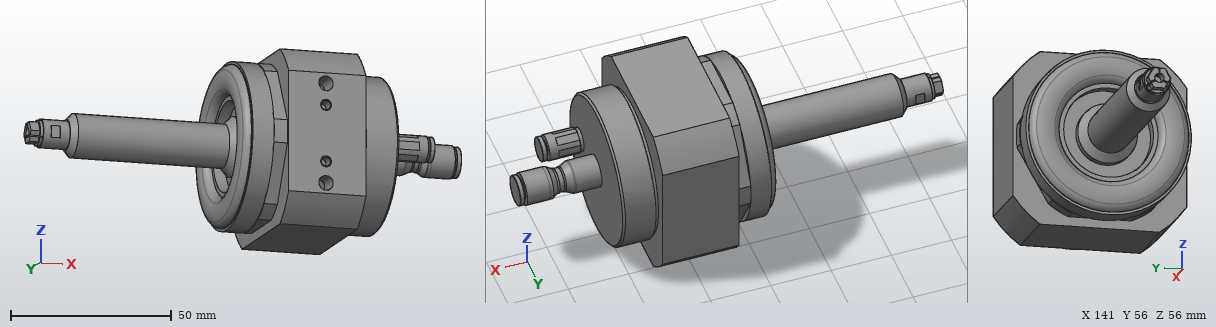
import cadquery as cq
import math


HOUSING_START = 76.7
HOUSING_END = 102.1
HOUSING_WIDTH = 56.0
HOUSING_CORNER_DIAMETER = 68.0

CORE_DIAMETER = 50.0
PORT_STATION = 89.0
LARGE_PORT_HEIGHT = 16.0
LARGE_PORT_DIAMETER = 4.7
SMALL_PORT_HEIGHT = 9.0
SMALL_PORT_DIAMETER = 3.0
SMALL_PORT_COUNTERSINK = 3.5

COLLET_FLATS = 6.3
COLLET_BORE = 3.0
COLLET_SLOT_WIDTH = 0.4
COLLET_LENGTH = 3.0
COLLET_SLOT_COUNT = 3
NECK_START = 4.0
NECK_DIAMETER = 9.0
NECK_CHAMFER = 0.4
WRENCH_START = 6.5
WRENCH_LENGTH = 3.0
WRENCH_FLATS = 8.2
SHAFT_CONE_START = 12.5
SHAFT_START = 14.5
SHAFT_DIAMETER = 14.0
SHAFT_CONE_DIAMETER = 9.9
COLLAR_CONE_START = 64.2
COLLAR_DIAMETER = 19.2

FLANGE_FRONT = 62.5
FLANGE_RIM_START = 65.5
FLANGE_END = 72.4
FLANGE_DIAMETER = 53.3
LIP_SAG = 0.5
LIP_ROUND = 3.1
LIP_OUTER_DEPTH = 2.7
LIP_OUTER_DIAMETER = 47.7
LIP_INNER_DIAMETER = 35.8
LIP_SHOULDER_DIAMETER = 51.6
RECESS_STEP = 65.6
RECESS_STEP_DIAMETER = 31.9
RECESS_DIAMETER = 28.9
RECESS_FLOOR = 69.4

NUT_FLATS = 50.0
NUT_CORNER_DIAMETER = 53.9

COVER_START = 103.2
COVER_END = 114.1
COVER_DIAMETER = 50.0
COVER_CHAMFER = 0.7
COVER_GROOVE_DIAMETER = 48.2

TOTAL_LENGTH = 141.0
LARGE_DIAMETER = 10.6
LARGE_BODY_END = 122.6
LARGE_CONE_START = 123.0
LARGE_CONE_DIAMETER = 10.5
WAIST_START = 125.4
WAIST_GROOVE_START = 126.0
WAIST_GROOVE_END = 127.5
WAIST_END = 128.2
LARGE_CONE_END = 130.0
LARGE_HEAD_START = 131.2
LARGE_HEAD_END = 138.8
LARGE_COLLAR_START = 139.5
WAIST_DIAMETER = 8.2
WAIST_GROOVE_DIAMETER = 7.8
LARGE_GROOVE_DIAMETER = 7.2
LARGE_COLLAR_DIAMETER = 9.9

RELEASE_COLLAR_CHAMFER = 0.1

SMALL_Y = -15.0
SMALL_DIAMETER = 8.5
SMALL_FLATS = 8.0
SMALL_BASE_DIAMETER = 7.8
SMALL_HEX_START = 115.2
SMALL_HEX_END = 122.6
SMALL_BODY_END = 125.5
SMALL_COLLAR_START = 126.2
SMALL_END = 127.8
SMALL_GROOVE_DIAMETER = 5.0
SMALL_COLLAR_DIAMETER = 8.0


def plane_at(x, y=0):
    """Work plane across the main axis, with local x along Y and local y along Z."""
    return cq.Workplane("YZ", origin=(x, y, 0))


def cylinder(start, end, diameter, y=0):
    return plane_at(start, y).circle(diameter / 2).extrude(end - start)


def hexagon(start, end, flats, y=0):
    """Hexagonal bar with two of its corners pointing along +Y and -Y."""
    corner_diameter = flats / math.cos(math.pi / 6)
    return plane_at(start, y).polygon(6, corner_diameter).extrude(end - start)


def turned(steps, y=0):
    """Solid of revolution along X through (station, diameter) steps."""
    points = [(x, diameter / 2) for x, diameter in steps]
    profile = [(points[0][0], 0)] + points + [(points[-1][0], 0)]
    return (
        cq.Workplane("XY")
        .polyline(profile)
        .close()
        .revolve(360, (0, 0, 0), (1, 0, 0))
        .translate((0, y, 0))
    )


def collar_steps(start, end, diameter):
    """Steps of a release collar with both edges chamfered."""
    edge_diameter = diameter - 2 * RELEASE_COLLAR_CHAMFER
    return (
        (start, edge_diameter),
        (start + RELEASE_COLLAR_CHAMFER, diameter),
        (end - RELEASE_COLLAR_CHAMFER, diameter),
        (end, edge_diameter),
    )


def side_face(z):
    """Work plane on the -Y face of the housing at the station of the ports, facing inward."""
    plane = cq.Plane(
        origin=(PORT_STATION, -HOUSING_WIDTH / 2, z), xDir=(1, 0, 0), normal=(0, 1, 0)
    )
    return cq.Workplane(plane)


def make_housing():
    length = HOUSING_END - HOUSING_START
    block = plane_at(HOUSING_START).rect(HOUSING_WIDTH, HOUSING_WIDTH).extrude(length)
    block = block.intersect(cylinder(HOUSING_START, HOUSING_END, HOUSING_CORNER_DIAMETER))
    core = cylinder(HOUSING_START, HOUSING_END, CORE_DIAMETER)
    for side in (1, -1):
        large_port = (
            side_face(side * LARGE_PORT_HEIGHT)
            .circle(LARGE_PORT_DIAMETER / 2)
            .extrude(HOUSING_WIDTH / 2)
        )
        small_port = (
            side_face(side * SMALL_PORT_HEIGHT)
            .circle(SMALL_PORT_DIAMETER / 2)
            .extrude(HOUSING_WIDTH / 2)
        )
        countersink = cq.Workplane(
            cq.Solid.makeCone(
                SMALL_PORT_COUNTERSINK / 2,
                0,
                SMALL_PORT_COUNTERSINK / 2,
                pnt=(PORT_STATION, -HOUSING_WIDTH / 2, side * SMALL_PORT_HEIGHT),
                dir=(0, 1, 0),
            )
        )
        block = block.cut(large_port.cut(core)).cut(small_port.cut(core)).cut(countersink)
    return block


def make_flange():
    lip_edge = FLANGE_FRONT + LIP_SAG
    lip_crest = (LIP_OUTER_DIAMETER + LIP_INNER_DIAMETER) / 4
    profile = (
        cq.Workplane("XY")
        .moveTo(RECESS_FLOOR, 0)
        .lineTo(RECESS_FLOOR, RECESS_DIAMETER / 2)
        .lineTo(RECESS_STEP, RECESS_DIAMETER / 2)
        .lineTo(RECESS_STEP, RECESS_STEP_DIAMETER / 2)
        .radiusArc((lip_edge, LIP_INNER_DIAMETER / 2), LIP_ROUND)
        .threePointArc((FLANGE_FRONT, lip_crest), (lip_edge, LIP_OUTER_DIAMETER / 2))
        .radiusArc((FLANGE_FRONT + LIP_OUTER_DEPTH, LIP_SHOULDER_DIAMETER / 2), LIP_ROUND)
        .lineTo(FLANGE_RIM_START, LIP_SHOULDER_DIAMETER / 2)
        .lineTo(FLANGE_RIM_START, FLANGE_DIAMETER / 2)
        .lineTo(FLANGE_END, FLANGE_DIAMETER / 2)
        .lineTo(FLANGE_END, 0)
        .close()
    )
    return profile.revolve(360, (0, 0, 0), (1, 0, 0))


def make_nut():
    nut = hexagon(FLANGE_END, HOUSING_START, NUT_FLATS)
    return nut.intersect(cylinder(FLANGE_END, HOUSING_START, NUT_CORNER_DIAMETER))


def make_spindle():
    collar_end = COLLAR_CONE_START + (COLLAR_DIAMETER - SHAFT_DIAMETER) / 2
    spindle = turned(
        (
            (COLLET_LENGTH, NECK_DIAMETER - 2 * NECK_CHAMFER),
            (NECK_START, NECK_DIAMETER - 2 * NECK_CHAMFER),
            (NECK_START, NECK_DIAMETER),
            (SHAFT_CONE_START, NECK_DIAMETER),
            (SHAFT_CONE_START, SHAFT_CONE_DIAMETER),
            (SHAFT_START, SHAFT_DIAMETER),
            (COLLAR_CONE_START, SHAFT_DIAMETER),
            (collar_end, COLLAR_DIAMETER),
            (RECESS_FLOOR, COLLAR_DIAMETER),
        )
    )
    wrench_end = WRENCH_START + WRENCH_LENGTH
    wrench_ring = cylinder(WRENCH_START, wrench_end, 2 * NECK_DIAMETER)
    wrench_core = (
        plane_at(WRENCH_START).rect(WRENCH_FLATS, 2 * NECK_DIAMETER).extrude(WRENCH_LENGTH)
    )
    spindle = spindle.cut(wrench_ring.cut(wrench_core))
    return spindle.union(hexagon(0, COLLET_LENGTH, COLLET_FLATS))


def make_collet_cut():
    """Bore of the collet and the radial slots that split it into jaws."""
    cut = cylinder(0, NECK_START, COLLET_BORE)
    for i in range(COLLET_SLOT_COUNT):
        slot = (
            plane_at(0)
            .center(0, NECK_DIAMETER / 2)
            .rect(COLLET_SLOT_WIDTH, NECK_DIAMETER)
            .extrude(NECK_START)
            .rotate((0, 0, 0), (1, 0, 0), i * 360 / COLLET_SLOT_COUNT)
        )
        cut = cut.union(slot)
    return cut


def make_cover():
    cover = cylinder(COVER_START, COVER_END, COVER_DIAMETER).faces(">X").chamfer(COVER_CHAMFER)
    return cover.union(cylinder(HOUSING_END, COVER_START, COVER_GROOVE_DIAMETER))


def make_large_fitting():
    return turned(
        (
            (COVER_END, LARGE_DIAMETER),
            (LARGE_BODY_END, LARGE_DIAMETER),
            (LARGE_CONE_START, LARGE_CONE_DIAMETER),
            (WAIST_START, WAIST_DIAMETER),
            (WAIST_GROOVE_START, WAIST_DIAMETER),
            (WAIST_GROOVE_START, WAIST_GROOVE_DIAMETER),
            (WAIST_GROOVE_END, WAIST_GROOVE_DIAMETER),
            (WAIST_GROOVE_END, WAIST_DIAMETER),
            (WAIST_END, WAIST_DIAMETER),
            (LARGE_CONE_END, LARGE_CONE_DIAMETER),
            (LARGE_HEAD_START, LARGE_DIAMETER),
            (LARGE_HEAD_END, LARGE_DIAMETER),
            (LARGE_HEAD_END, LARGE_GROOVE_DIAMETER),
            (LARGE_COLLAR_START, LARGE_GROOVE_DIAMETER),
            *collar_steps(LARGE_COLLAR_START, TOTAL_LENGTH, LARGE_COLLAR_DIAMETER),
        )
    )


def make_small_fitting():
    wrench_part = hexagon(SMALL_HEX_START, SMALL_HEX_END, SMALL_FLATS, SMALL_Y).rotate(
        (0, SMALL_Y, 0), (1, SMALL_Y, 0), 30
    )
    wrench_part = wrench_part.intersect(
        cylinder(SMALL_HEX_START, SMALL_HEX_END, SMALL_DIAMETER, SMALL_Y)
    )
    base = cylinder(COVER_END, SMALL_HEX_START, SMALL_BASE_DIAMETER, SMALL_Y)
    head = turned(
        (
            (SMALL_HEX_END, SMALL_DIAMETER),
            (SMALL_BODY_END, SMALL_DIAMETER),
            (SMALL_BODY_END, SMALL_GROOVE_DIAMETER),
            (SMALL_COLLAR_START, SMALL_GROOVE_DIAMETER),
            *collar_steps(SMALL_COLLAR_START, SMALL_END, SMALL_COLLAR_DIAMETER),
        ),
        SMALL_Y,
    )
    return base.union(wrench_part).union(head)


result = (
    make_housing()
    .union(make_nut())
    .union(make_flange())
    .union(make_spindle())
    .cut(make_collet_cut())
    .union(make_cover())
    .union(make_large_fitting())
    .union(make_small_fitting())
)